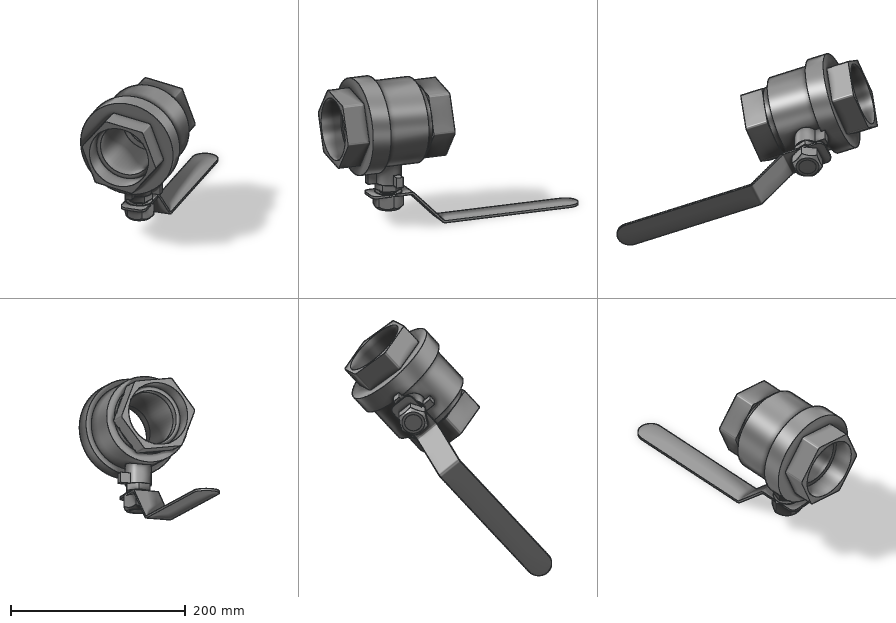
import cadquery as cq
import math


OVERALL_LENGTH = 302.0
OVERALL_HEIGHT = 180.0

BORE_DIAMETER = 62.5
SOCKET_DIAMETER = 72.0
SOCKET_DEPTH = 24.2

HEX_ACROSS_FLATS = 79.0
HEX_TURN = 9.0
HEX_EDGE_RADIUS = 3.5
HEX_LENGTH = 26.3

BARREL_DIAMETER = 99.5
FLANGE_DIAMETER = 112.5
FRONT_FACE_Y = -68.2
FLANGE_FRONT_Y = FRONT_FACE_Y + HEX_LENGTH
FLANGE_WIDTH = 22.0
BARREL_FRONT_Y = FLANGE_FRONT_Y + FLANGE_WIDTH
BARREL_LENGTH = 49.5
BARREL_REAR_Y = BARREL_FRONT_Y + BARREL_LENGTH

NECK_DIAMETER = 81.0
NECK_LENGTH = 8.5
RETAINER_HEX_Y = BARREL_REAR_Y + NECK_LENGTH
REAR_FACE_Y = RETAINER_HEX_Y + HEX_LENGTH

BOSS_DIAMETER = 30.0
BOSS_BOTTOM_Z = -71.2
STOP_REACH = 25.0
STOP_WIDTH = 8.2
SIDE_STOP_HEIGHT = 11.8
FRONT_STOP_ROOT = 6.0

STEM_DIAMETER = 20.0
STEM_TOP_Z = -BARREL_DIAMETER / 2
GLAND_HEIGHT = 7.5
GLAND_CORNER_DIAMETER = 30.8
GLAND_TURN = 11.5

LEVER_WIDTH = BOSS_DIAMETER
LEVER_THICKNESS = 2.7
LEVER_TOP_Z = -82.0
LEVER_BOTTOM_Z = FLANGE_DIAMETER / 2 - OVERALL_HEIGHT
LEVER_END_CENTRE_Y = FRONT_FACE_Y + OVERALL_LENGTH - LEVER_WIDTH / 2
LEVER_BEND_Y = 25.0
LEVER_CORNER_RADIUS = 7.2
BEND_OUTER_RADIUS = 6.0
BEND_INNER_RADIUS = BEND_OUTER_RADIUS - LEVER_THICKNESS

NUT_ACROSS_FLATS = 30.5
NUT_TOP_Z = -81.5
NUT_HEIGHT = 20.2
NUT_BOTTOM_Z = NUT_TOP_Z - NUT_HEIGHT
NUT_BOTTOM_DIAMETER = 26.3


def cylinder_along_y(diameter, start_y, length):
    """Cylinder on the waterway axis, running toward +Y from start_y."""
    plane = cq.Workplane("XZ", origin=(0, start_y, 0))
    return plane.circle(diameter / 2).extrude(-length)


def cylinder_along_z(diameter, bottom_z, top_z):
    """Cylinder on the stem axis between two heights."""
    return cq.Workplane("XY").workplane(offset=bottom_z).circle(diameter / 2).extrude(top_z - bottom_z)


def hexagon_along_z(corner_diameter, turn, bottom_z, height):
    """Hexagonal prism on the stem axis, its first corner turned from +X by turn degrees."""
    prism = cq.Workplane("XY").workplane(offset=bottom_z).polygon(6, corner_diameter).extrude(height)
    return prism.rotate((0, 0, 0), (0, 0, 1), turn)


def corner_diameter(across_flats):
    """Diameter through the corners of a hexagon."""
    return across_flats / math.cos(math.pi / 6)


def pipe_hexagon(start_y):
    """Hexagonal pipe end with rounded long edges, running toward +Y from start_y."""
    plane = cq.Workplane("XZ", origin=(0, start_y, 0))
    prism = plane.polygon(6, corner_diameter(HEX_ACROSS_FLATS)).extrude(-HEX_LENGTH)
    return prism.edges("|Y").fillet(HEX_EDGE_RADIUS).rotate((0, 0, 0), (0, 1, 0), HEX_TURN)


def lever_stops():
    """Two square-ended blocks that limit the lever to a quarter turn."""
    front_height = STEM_TOP_Z + FRONT_STOP_ROOT - BOSS_BOTTOM_Z
    front_stop = cq.Workplane("XY").box(STOP_WIDTH, STOP_REACH, front_height, centered=False)
    front_stop = front_stop.translate((-STOP_WIDTH, -STOP_REACH, BOSS_BOTTOM_Z))
    side_stop = cq.Workplane("XY").box(STOP_REACH, STOP_WIDTH, SIDE_STOP_HEIGHT, centered=False)
    side_stop = side_stop.translate((0, 0, BOSS_BOTTOM_Z))
    return front_stop.union(side_stop)


def make_housing():
    """Barrel, flange and front pipe end in one, with the stem boss and lever stops below."""
    body = pipe_hexagon(FRONT_FACE_Y)
    body = body.union(cylinder_along_y(FLANGE_DIAMETER, FLANGE_FRONT_Y, FLANGE_WIDTH))
    body = body.union(cylinder_along_y(BARREL_DIAMETER, BARREL_FRONT_Y, BARREL_LENGTH))
    body = body.union(cylinder_along_z(BOSS_DIAMETER, BOSS_BOTTOM_Z, -SOCKET_DIAMETER / 2))
    body = body.union(lever_stops())
    body = body.cut(cylinder_along_y(BORE_DIAMETER, FRONT_FACE_Y, BARREL_REAR_Y - FRONT_FACE_Y))
    body = body.cut(cylinder_along_y(SOCKET_DIAMETER, FRONT_FACE_Y, SOCKET_DEPTH))
    return body.cut(cylinder_along_z(STEM_DIAMETER, BOSS_BOTTOM_Z, STEM_TOP_Z))


def make_retainer():
    """Rear pipe end whose neck seats on the rear face of the barrel."""
    body = cylinder_along_y(NECK_DIAMETER, BARREL_REAR_Y, NECK_LENGTH)
    body = body.union(pipe_hexagon(RETAINER_HEX_Y))
    body = body.cut(cylinder_along_y(BORE_DIAMETER, BARREL_REAR_Y, REAR_FACE_Y - BARREL_REAR_Y))
    return body.cut(cylinder_along_y(SOCKET_DIAMETER, REAR_FACE_Y - SOCKET_DEPTH, SOCKET_DEPTH))


def make_stem():
    """Round stem from its blind hole in the boss down to the lower face of the nut."""
    return cylinder_along_z(STEM_DIAMETER, NUT_BOTTOM_Z, STEM_TOP_Z)


def make_gland():
    """Hexagonal gland on the stem, against the lower face of the boss."""
    bottom_z = BOSS_BOTTOM_Z - GLAND_HEIGHT
    gland = hexagon_along_z(GLAND_CORNER_DIAMETER, GLAND_TURN, bottom_z, GLAND_HEIGHT)
    return gland.cut(cylinder_along_z(STEM_DIAMETER, bottom_z, BOSS_BOTTOM_Z))


def lever_bar():
    """Flat bar bent down at 45 degrees and level again, with rounded bends and square ends."""
    upper_bottom_z = LEVER_TOP_Z - LEVER_THICKNESS
    lower_top_z = LEVER_BOTTOM_Z + LEVER_THICKNESS
    bend_shift = LEVER_THICKNESS * math.tan(math.pi / 8)
    low_bend_y = LEVER_BEND_Y + LEVER_TOP_Z - lower_top_z
    high_outer_bend = (LEVER_BEND_Y, LEVER_TOP_Z)
    high_inner_bend = (LEVER_BEND_Y - bend_shift, upper_bottom_z)
    low_inner_bend = (low_bend_y, lower_top_z)
    low_outer_bend = (low_bend_y - bend_shift, LEVER_BOTTOM_Z)
    profile = [
        (-STOP_REACH, LEVER_TOP_Z),
        high_outer_bend,
        low_inner_bend,
        (LEVER_END_CENTRE_Y, lower_top_z),
        (LEVER_END_CENTRE_Y, LEVER_BOTTOM_Z),
        low_outer_bend,
        high_inner_bend,
        (-STOP_REACH, upper_bottom_z),
    ]
    bar = cq.Workplane("YZ").polyline(profile).close().extrude(LEVER_WIDTH / 2, both=True)
    for y, z in (high_outer_bend, low_outer_bend):
        bar = bar.edges(cq.selectors.NearestToPointSelector((0, y, z))).fillet(BEND_OUTER_RADIUS)
    for y, z in (high_inner_bend, low_inner_bend):
        bar = bar.edges(cq.selectors.NearestToPointSelector((0, y, z))).fillet(BEND_INNER_RADIUS)
    return bar


def make_lever():
    """Cranked bar with a full-round far end, rounded near corners and a hole for the stem."""
    lever = lever_bar().edges("|Z and <Y").fillet(LEVER_CORNER_RADIUS)
    round_end = cylinder_along_z(LEVER_WIDTH, LEVER_BOTTOM_Z, LEVER_BOTTOM_Z + LEVER_THICKNESS)
    lever = lever.union(round_end.translate((0, LEVER_END_CENTRE_Y, 0)))
    return lever.cut(cylinder_along_z(STEM_DIAMETER, LEVER_TOP_Z - LEVER_THICKNESS, LEVER_TOP_Z))


def make_lever_nut(lever):
    """Chamfered hexagon nut, slotted where the lever passes through it."""
    corner = corner_diameter(NUT_ACROSS_FLATS)
    nut = hexagon_along_z(corner, 0, NUT_BOTTOM_Z, NUT_HEIGHT)
    top_chamfer = (corner - NUT_ACROSS_FLATS) / 2
    bottom_chamfer = (corner - NUT_BOTTOM_DIAMETER) / 2
    envelope = cylinder_along_z(corner, NUT_BOTTOM_Z, NUT_TOP_Z)
    envelope = envelope.faces(">Z").chamfer(top_chamfer)
    envelope = envelope.faces("<Z").chamfer(bottom_chamfer)
    nut = nut.intersect(envelope)
    nut = nut.cut(cylinder_along_z(STEM_DIAMETER, NUT_BOTTOM_Z, NUT_TOP_Z))
    return nut.cut(lever)


housing = make_housing()
retainer = make_retainer()
stem = make_stem()
gland = make_gland()
lever = make_lever()
lever_nut = make_lever_nut(lever)

result = cq.Compound.makeCompound(
    [housing.val(), retainer.val(), stem.val(), gland.val(), lever.val(), lever_nut.val()]
)